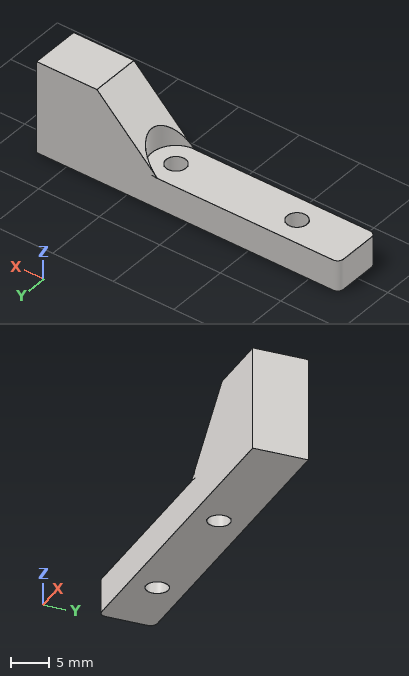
import cadquery as cq

length = 50.0
width = 8.0
height = 15.0

plate_thickness = 5.0
ramp_start_x = 30.0
ramp_end_x = 40.0
end_corner_radius = 1.0

hole_diameter = 3.2
hole_positions_x = (10.0, ramp_start_x)
clearance_diameter = width


def make_body():
    """Extrude the side profile, centred on the XZ plane, and round the plate's end corners."""
    profile = [
        (0, 0),
        (length, 0),
        (length, height),
        (ramp_end_x, height),
        (ramp_start_x, plate_thickness),
        (0, plate_thickness),
    ]
    body = cq.Workplane("XZ").polyline(profile).close().extrude(width / 2, both=True)
    return body.faces("<X").edges("|Z").fillet(end_corner_radius)


def vertical_cylinder(x, diameter, bottom_z):
    """Cutting cylinder on the part's centre line, from bottom_z up to the top of the part."""
    base = cq.Workplane("XY", origin=(x, 0, bottom_z))
    return base.circle(diameter / 2).extrude(height - bottom_z)


result = make_body()

result = result.cut(vertical_cylinder(ramp_start_x, clearance_diameter, plate_thickness))

for hole_x in hole_positions_x:
    result = result.cut(vertical_cylinder(hole_x, hole_diameter, 0))